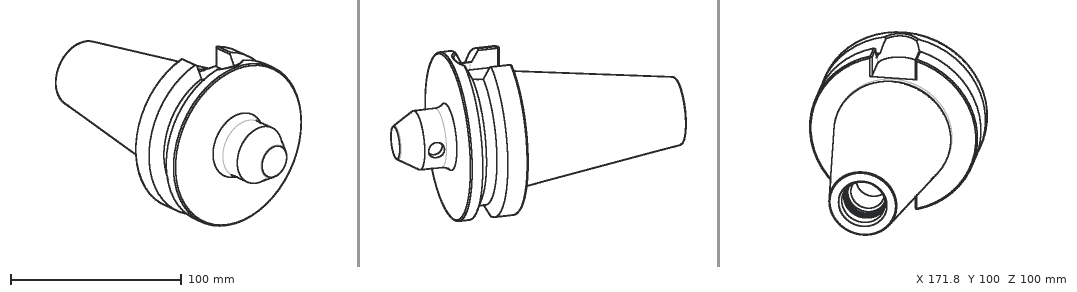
import cadquery as cq
import math

total_length = 171.8

small_end_radius = 20.1
taper_ratio = 7 / 48
taper_end_x = 101.0
end_chamfer = 0.5
neck_radius = 34.0
neck_start_x = 101.7
neck_fillet = 0.9

flange_front_x = 104.6
flange_rear_x = 139.8
flange_radius = 50.0
flange_chamfer = 0.9
groove_radius = 42.3
groove_center_x = 124.9
groove_floor_width = 6.4
groove_wall_angle = 30

slot_half_width = 12.9
slot_floor_height = 35.4
slot_end_x = 135.7
slot_chamfer = 1.0

nose_radius = 17.5
nose_root_fillet = 8.6
nose_root_length = 5.8
nose_cone_x = 158.7
nose_tip_radius = 10.1
nose_tip_chamfer = 0.5

bore_mouth_radius = 14.5
countersink_radius = 14.1
pilot_radius = 12.9
pilot_depth = 9.0
relief_radius = 12.2
relief_depth = 11.9
thread_radius = 11.5
core_radius = 10.0
thread_depth = 15.1
core_depth = 34.4
center_angle = 30
step_angle = 45
drill_tip_angle = 60

side_hole_x = 151.5
side_hole_radius = 4.8
side_hole_depth = 5.2


def cone_length(large_radius, small_radius, half_angle):
    """Axial length of a cone between two radii."""
    return (large_radius - small_radius) / math.tan(math.radians(half_angle))


def revolve_about_x(outline):
    return outline.close().revolve(360, (0, 0, 0), (1, 0, 0))


def make_body():
    taper_end_radius = small_end_radius + taper_ratio * taper_end_x
    wall_width = (flange_radius - groove_radius) * math.tan(math.radians(groove_wall_angle))
    floor_start_x = groove_center_x - groove_floor_width / 2
    floor_end_x = groove_center_x + groove_floor_width / 2
    root_rise = nose_root_fillet - math.sqrt(nose_root_fillet**2 - nose_root_length**2)
    root_end_x = flange_rear_x + nose_root_length
    half_sweep = math.asin(nose_root_length / nose_root_fillet) / 2
    root_mid_x = root_end_x - nose_root_fillet * math.sin(half_sweep)
    root_mid_radius = nose_radius + nose_root_fillet * (1 - math.cos(half_sweep))

    outline = (
        cq.Workplane("XY")
        .moveTo(0, 0)
        .lineTo(0, small_end_radius - end_chamfer)
        .lineTo(end_chamfer, small_end_radius + taper_ratio * end_chamfer)
        .lineTo(taper_end_x, taper_end_radius)
        .lineTo(neck_start_x, neck_radius)
        .lineTo(flange_front_x - neck_fillet, neck_radius)
        .radiusArc((flange_front_x, neck_radius + neck_fillet), -neck_fillet)
        .lineTo(flange_front_x, flange_radius - flange_chamfer)
        .lineTo(flange_front_x + flange_chamfer, flange_radius)
        .lineTo(floor_start_x - wall_width, flange_radius)
        .lineTo(floor_start_x, groove_radius)
        .lineTo(floor_end_x, groove_radius)
        .lineTo(floor_end_x + wall_width, flange_radius)
        .lineTo(flange_rear_x - flange_chamfer, flange_radius)
        .lineTo(flange_rear_x, flange_radius - flange_chamfer)
        .lineTo(flange_rear_x, nose_radius + root_rise)
        .threePointArc((root_mid_x, root_mid_radius), (root_end_x, nose_radius))
        .lineTo(nose_cone_x, nose_radius)
        .lineTo(total_length - nose_tip_chamfer, nose_tip_radius)
        .lineTo(total_length, nose_tip_radius - nose_tip_chamfer)
        .lineTo(total_length, 0)
    )
    return revolve_about_x(outline)


def make_bore():
    countersink_start = cone_length(bore_mouth_radius, countersink_radius, step_angle)
    pilot_start = countersink_start + cone_length(countersink_radius, pilot_radius, center_angle)
    relief_start = pilot_depth + cone_length(pilot_radius, relief_radius, step_angle)
    thread_start = relief_depth + cone_length(relief_radius, thread_radius, step_angle)
    core_start = thread_depth + cone_length(thread_radius, core_radius, step_angle)
    outline = (
        cq.Workplane("XY")
        .moveTo(0, 0)
        .lineTo(0, bore_mouth_radius)
        .lineTo(countersink_start, countersink_radius)
        .lineTo(pilot_start, pilot_radius)
        .lineTo(pilot_depth, pilot_radius)
        .lineTo(relief_start, relief_radius)
        .lineTo(relief_depth, relief_radius)
        .lineTo(thread_start, thread_radius)
        .lineTo(thread_depth, thread_radius)
        .lineTo(core_start, core_radius)
        .lineTo(core_depth, core_radius)
        .lineTo(core_depth + cone_length(core_radius, 0, drill_tip_angle), 0)
    )
    return revolve_about_x(outline)


def make_slot_cutter():
    """Upper drive slot, open at the flange front and rounded at its rear end."""
    open_x = flange_front_x
    height = flange_radius - slot_floor_height
    arc_x = slot_end_x - slot_half_width
    return (
        cq.Workplane("XY", origin=(0, 0, slot_floor_height))
        .moveTo(open_x, -slot_half_width)
        .lineTo(arc_x, -slot_half_width)
        .threePointArc((slot_end_x, 0), (arc_x, slot_half_width))
        .lineTo(open_x, slot_half_width)
        .close()
        .extrude(height)
    )


def make_slot_entry():
    """Bevelled widening of the upper slot where it opens through the flange front."""
    height = flange_radius - slot_floor_height
    return (
        cq.Workplane("XY", origin=(0, 0, slot_floor_height))
        .moveTo(flange_front_x, -slot_half_width - slot_chamfer)
        .lineTo(flange_front_x + slot_chamfer, -slot_half_width)
        .lineTo(flange_front_x + slot_chamfer, slot_half_width)
        .lineTo(flange_front_x, slot_half_width + slot_chamfer)
        .close()
        .extrude(height)
    )


def make_side_hole():
    return (
        cq.Workplane("XZ", origin=(side_hole_x, nose_radius, 0))
        .circle(side_hole_radius)
        .extrude(side_hole_depth)
    )


def bevel_slot_rims(flange):
    """Bevel the slot edges that lie on the cylindrical rim of the flange."""
    tolerance = 0.02

    def lies_on_rim(edge):
        middle = edge.positionAt(0.5)
        within_width = abs(middle.y) < slot_half_width + tolerance
        beside_slot = flange_front_x + slot_chamfer < middle.x < slot_end_x + tolerance
        points = [edge.positionAt(share) for share in (0, 0.5, 1)]
        return within_width and beside_slot and all(
            abs(math.hypot(point.y, point.z) - flange_radius) < tolerance for point in points
        )

    rim_edges = [edge for edge in flange.edges().vals() if lies_on_rim(edge)]
    return flange.newObject(rim_edges).chamfer(slot_chamfer)


slot = make_slot_cutter().union(make_slot_entry())
body = make_body().cut(make_bore()).cut(make_side_hole())
result = bevel_slot_rims(body.cut(slot).cut(slot.mirror("XY")))